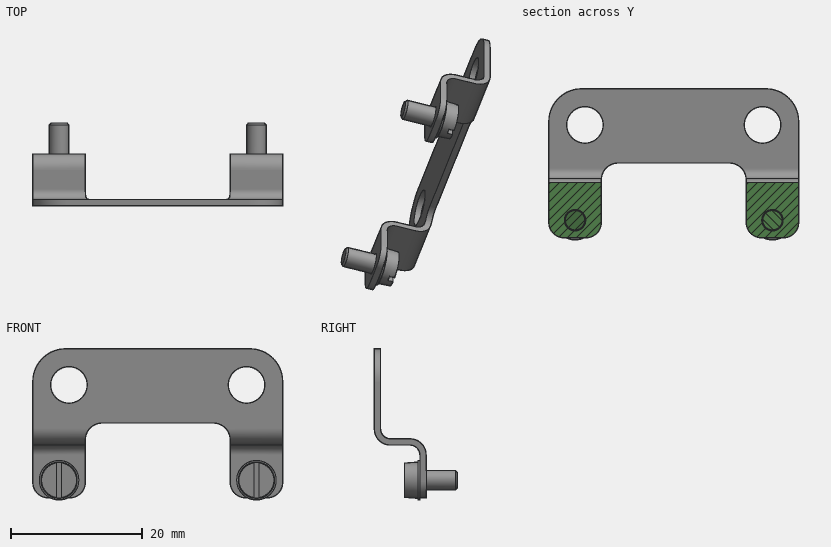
import cadquery as cq


WIDTH = 38.0
SHEET = 1.0
STEP_DEPTH = 7.9
TOP_Z = 20.0
BOTTOM_Z = -2.7
WEB_TOP_Z = 6.3
BEND_INNER_RADIUS = 1.5
BEND_OUTER_RADIUS = BEND_INNER_RADIUS + SHEET
TOP_CORNER_RADIUS = 5.0
LEG_WIDTH = 8.0
LEG_CORNER_RADIUS = 2.4
CUTOUT_TOP_Z = 8.65
CUTOUT_CORNER_RADIUS = 2.5
MOUNT_HOLE_DIAMETER = 5.5
MOUNT_HOLE_INSET = 5.5

SCREW_X = WIDTH / 2 - LEG_WIDTH / 2
CLEARANCE_DIAMETER = 3.2
WASHER_DIAMETER = 6.0
WASHER_THICKNESS = 0.3
SHANK_DIAMETER = 3.0
SHANK_LENGTH = 6.0
SHANK_CHAMFER = 0.3
HEAD_BASE_DIAMETER = 5.5
HEAD_FRONT_DIAMETER = 5.32
HEAD_HEIGHT = 2.0
SLOT_WIDTH = 0.8
SLOT_DEPTH = 0.85

LEG_FRONT_Y = STEP_DEPTH - SHEET
WASHER_FRONT_Y = LEG_FRONT_Y - WASHER_THICKNESS
HEAD_FRONT_Y = WASHER_FRONT_Y - HEAD_HEIGHT


def cylinder_along_y(x, z, diameter, start_y, length):
    """Cylinder about a line parallel to Y, running from start_y toward +Y."""
    return cq.Workplane(
        cq.Solid.makeCylinder(diameter / 2, length, cq.Vector(x, start_y, z), cq.Vector(0, 1, 0))
    )


def make_folded_sheet():
    """Z-bent sheet of full width, before its outline is trimmed."""
    web_bottom_z = WEB_TOP_Z - SHEET
    sheet = (
        cq.Workplane("YZ")
        .moveTo(0, TOP_Z)
        .lineTo(SHEET, TOP_Z)
        .lineTo(SHEET, WEB_TOP_Z)
        .lineTo(STEP_DEPTH, WEB_TOP_Z)
        .lineTo(STEP_DEPTH, BOTTOM_Z)
        .lineTo(LEG_FRONT_Y, BOTTOM_Z)
        .lineTo(LEG_FRONT_Y, web_bottom_z)
        .lineTo(0, web_bottom_z)
        .close()
        .extrude(WIDTH / 2, both=True)
    )
    inner_corners = [(SHEET, WEB_TOP_Z), (LEG_FRONT_Y, web_bottom_z)]
    outer_corners = [(0, web_bottom_z), (STEP_DEPTH, WEB_TOP_Z)]
    for corners, radius in ((inner_corners, BEND_INNER_RADIUS), (outer_corners, BEND_OUTER_RADIUS)):
        for y, z in corners:
            sheet = sheet.edges(cq.selectors.NearestToPointSelector((0, y, z))).fillet(radius)
    return sheet


def make_front_outline():
    """Block with the bracket's front outline, deep enough to hold the folded sheet."""
    height = TOP_Z - BOTTOM_Z
    cutout_width = WIDTH - 2 * LEG_WIDTH
    plate = (
        cq.Workplane("XY")
        .box(WIDTH, STEP_DEPTH, height, centered=(True, False, False))
        .translate((0, 0, BOTTOM_Z))
        .edges("|Y and >Z")
        .fillet(TOP_CORNER_RADIUS)
    )
    cutout = (
        cq.Workplane("XY")
        .box(cutout_width, STEP_DEPTH, CUTOUT_TOP_Z - BOTTOM_Z, centered=(True, False, False))
        .translate((0, 0, BOTTOM_Z))
        .edges("|Y and >Z")
        .fillet(CUTOUT_CORNER_RADIUS)
    )
    return plate.cut(cutout).edges("|Y and <Z").fillet(LEG_CORNER_RADIUS)


def make_bracket():
    bracket = make_folded_sheet().intersect(make_front_outline())
    mount_x = WIDTH / 2 - MOUNT_HOLE_INSET
    mount_z = TOP_Z - MOUNT_HOLE_INSET
    for side in (-1, 1):
        mount_hole = cylinder_along_y(side * mount_x, mount_z, MOUNT_HOLE_DIAMETER, 0, SHEET)
        screw_hole = cylinder_along_y(side * SCREW_X, 0, CLEARANCE_DIAMETER, LEG_FRONT_Y, SHEET)
        bracket = bracket.cut(mount_hole).cut(screw_hole)
    return bracket


def make_washer(x):
    """Flat washer on the front face of a leg."""
    disc = cylinder_along_y(x, 0, WASHER_DIAMETER, WASHER_FRONT_Y, WASHER_THICKNESS)
    return disc.cut(cylinder_along_y(x, 0, CLEARANCE_DIAMETER, WASHER_FRONT_Y, WASHER_THICKNESS))


def make_screw(x):
    """Slotted screw with a head tapering toward its front face and a chamfered shank tip."""
    shank = (
        cylinder_along_y(x, 0, SHANK_DIAMETER, WASHER_FRONT_Y, SHANK_LENGTH)
        .faces(">Y")
        .chamfer(SHANK_CHAMFER)
    )
    head = cq.Workplane(
        cq.Solid.makeCone(
            HEAD_FRONT_DIAMETER / 2,
            HEAD_BASE_DIAMETER / 2,
            HEAD_HEIGHT,
            cq.Vector(x, HEAD_FRONT_Y, 0),
            cq.Vector(0, 1, 0),
        )
    )
    slot = (
        cq.Workplane("XY")
        .box(SLOT_WIDTH, SLOT_DEPTH, HEAD_BASE_DIAMETER, centered=(True, False, True))
        .translate((x, HEAD_FRONT_Y, 0))
    )
    return head.union(shank).cut(slot)


bracket = make_bracket()
washers = [make_washer(side * SCREW_X) for side in (-1, 1)]
screws = [make_screw(side * SCREW_X) for side in (-1, 1)]

result = cq.Compound.makeCompound([body.val() for body in [bracket, *washers, *screws]])